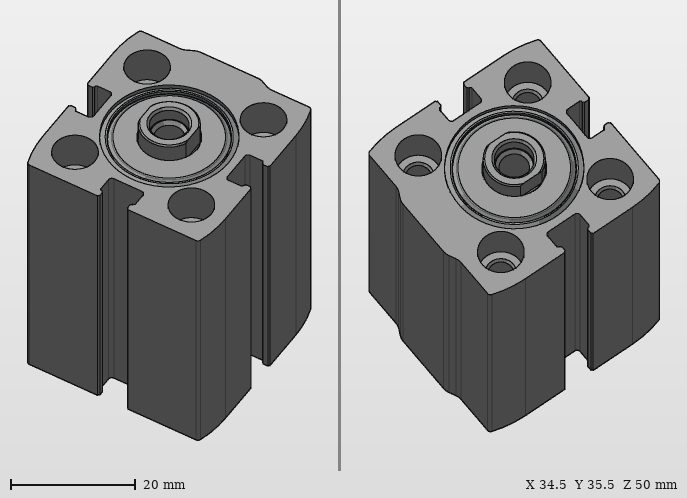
import cadquery as cq
import math

HALF_SIDE = 17.25
BODY_HEIGHT = 47.0
SIDE_FLAT_HALF = 10.75
SIDE_ARC_RADIUS = 20.0
CORNER_FILLET = 0.6

RIDGE_HEIGHT = 1.05
RIDGE_TOP_HALF = 5.95
RIDGE_BASE_HALF = 8.15
RIDGE_FILLET = 2.5

SLOT_MOUTH = 5.2
SLOT_WIDTH = 6.5
SLOT_DEPTH = 4.6
SLOT_LIP = 1.4
SLOT_FLOOR_FILLET = 0.6
SLOT_LIP_FILLET = 0.25
SLOT_MOUTH_ROUND = 0.25

MOUNT_OFFSET = 11.0
MOUNT_HOLE_DIA = 4.2
MOUNT_CHAMFER_DIA = 5.0
MOUNT_BORE_DIA = 7.5
MOUNT_BORE_DEPTH = 7.0

OUTER_RING_DIA = 22.4
OUTER_RING_TOP_DIA = 20.6
OUTER_RING_DEPTH = 0.75
INNER_RING_DIA = 20.0
INNER_RING_TOP_DIA = 18.6
INNER_RING_FLOOR_DIA = 19.8
INNER_RING_DEPTH = 0.75
CAP_EDGE_DIA = 18.1
CAP_EDGE_DROP = 0.1
CAP_DROP = 0.2

TOTAL_HEIGHT = 50.0
ROD_DIA = 10.0
ROD_LENGTH = 23.0
ROD_TIP_CHAMFER = 0.25
ROD_FLATS = 9.0
FLAT_BELOW_TOP = 1.0
FLAT_RUNOUT = 0.25
WIPER_DIA = 10.4
THREAD_MOUTH_DIA = 7.2
THREAD_RECESS_DIA = 6.4
THREAD_RECESS_DEPTH = 2.5
THREAD_CONE_DIA = 6.1
THREAD_CORE_DIA = 4.9
THREAD_DEPTH = 11.0
DRILL_HALF_ANGLE = 59.0

ROD_BOTTOM = TOTAL_HEIGHT - ROD_LENGTH


def revolve_profile(points):
    """Solid of revolution about Z from (radius, height) points."""
    return cq.Workplane("XZ").polyline(points).close().revolve(360, (0, 0, 0), (0, 1, 0))


def side_curve_x(y):
    """X of the curved part of the +X side at the given Y."""
    rise = y - SIDE_FLAT_HALF
    return HALF_SIDE - SIDE_ARC_RADIUS + math.sqrt(SIDE_ARC_RADIUS**2 - rise**2)


def fillet_mirrored_edges(block, x, y, radius):
    """Round the two vertical edges at (-x, y) and (x, y)."""
    middle_z = BODY_HEIGHT / 2
    left = cq.selectors.NearestToPointSelector((-x, y, middle_z))
    right = cq.selectors.NearestToPointSelector((x, y, middle_z))
    return block.edges(left + right).fillet(radius)


def profile_block():
    """Extruded housing profile with curved X sides and the ridge on +Y."""
    ridge_top = HALF_SIDE + RIDGE_HEIGHT
    corner_x = side_curve_x(HALF_SIDE)
    arc_y = (SIDE_FLAT_HALF + HALF_SIDE) / 2
    arc_x = side_curve_x(arc_y)
    block = (
        cq.Workplane("XY")
        .moveTo(-corner_x, -HALF_SIDE)
        .lineTo(corner_x, -HALF_SIDE)
        .threePointArc((arc_x, -arc_y), (HALF_SIDE, -SIDE_FLAT_HALF))
        .lineTo(HALF_SIDE, SIDE_FLAT_HALF)
        .threePointArc((arc_x, arc_y), (corner_x, HALF_SIDE))
        .lineTo(RIDGE_BASE_HALF, HALF_SIDE)
        .lineTo(RIDGE_TOP_HALF, ridge_top)
        .lineTo(-RIDGE_TOP_HALF, ridge_top)
        .lineTo(-RIDGE_BASE_HALF, HALF_SIDE)
        .lineTo(-corner_x, HALF_SIDE)
        .threePointArc((-arc_x, arc_y), (-HALF_SIDE, SIDE_FLAT_HALF))
        .lineTo(-HALF_SIDE, -SIDE_FLAT_HALF)
        .threePointArc((-arc_x, -arc_y), (-corner_x, -HALF_SIDE))
        .close()
        .extrude(BODY_HEIGHT)
    )

    for y in (-HALF_SIDE, HALF_SIDE):
        block = fillet_mirrored_edges(block, corner_x, y, CORNER_FILLET)
    block = fillet_mirrored_edges(block, RIDGE_BASE_HALF, HALF_SIDE, RIDGE_FILLET)
    return fillet_mirrored_edges(block, RIDGE_TOP_HALF, ridge_top, RIDGE_FILLET)


def t_slot(angle):
    """Full-height T-slot cutter; at angle 0 it opens to -Y."""
    floor_y = -HALF_SIDE + SLOT_DEPTH
    lip_y = -HALF_SIDE + SLOT_LIP
    chamber = (
        cq.Workplane("XY")
        .center(0, (floor_y + lip_y) / 2)
        .rect(SLOT_WIDTH, floor_y - lip_y)
        .extrude(BODY_HEIGHT)
        .edges("|Z and >Y").fillet(SLOT_FLOOR_FILLET)
        .edges("|Z and <Y").fillet(SLOT_LIP_FILLET)
    )
    mouth_half = SLOT_MOUTH / 2
    round_half = mouth_half + SLOT_MOUTH_ROUND
    round_y = -HALF_SIDE + SLOT_MOUTH_ROUND
    mouth = (
        cq.Workplane("XY")
        .moveTo(-round_half, -HALF_SIDE)
        .radiusArc((-mouth_half, round_y), SLOT_MOUTH_ROUND)
        .lineTo(-mouth_half, lip_y - SLOT_MOUTH_ROUND)
        .radiusArc((-round_half, lip_y), SLOT_MOUTH_ROUND)
        .lineTo(round_half, lip_y)
        .radiusArc((mouth_half, lip_y - SLOT_MOUTH_ROUND), SLOT_MOUTH_ROUND)
        .lineTo(mouth_half, round_y)
        .radiusArc((round_half, -HALF_SIDE), SLOT_MOUTH_ROUND)
        .close()
        .extrude(BODY_HEIGHT)
    )
    return chamber.union(mouth).rotate((0, 0, 0), (0, 0, 1), angle)


def mounting_hole(x, y):
    """Through hole with a chamfered mouth at the floor of a deep counterbore."""
    bore_floor = BODY_HEIGHT - MOUNT_BORE_DEPTH
    hole_r = MOUNT_HOLE_DIA / 2
    chamfer_r = MOUNT_CHAMFER_DIA / 2
    bore_r = MOUNT_BORE_DIA / 2
    return revolve_profile([
        (0, 0),
        (hole_r, 0),
        (hole_r, bore_floor - (chamfer_r - hole_r)),
        (chamfer_r, bore_floor),
        (bore_r, bore_floor),
        (bore_r, BODY_HEIGHT),
        (0, BODY_HEIGHT),
    ]).translate((x, y, 0))


def cap_recess():
    """Two stepped ring grooves with sloping floors around a slightly sunk cap."""
    top = BODY_HEIGHT
    cap_z = top - CAP_DROP
    return revolve_profile([
        (0, cap_z),
        (CAP_EDGE_DIA / 2, cap_z),
        (INNER_RING_TOP_DIA / 2, cap_z - CAP_EDGE_DROP),
        (INNER_RING_FLOOR_DIA / 2, top - INNER_RING_DEPTH),
        (INNER_RING_DIA / 2, top - INNER_RING_DEPTH),
        (INNER_RING_DIA / 2, cap_z),
        (OUTER_RING_TOP_DIA / 2, cap_z),
        (OUTER_RING_DIA / 2, top - OUTER_RING_DEPTH),
        (OUTER_RING_DIA / 2, top),
        (0, top),
    ])


def rod_bore():
    """Blind bore that holds the rod, with a clearance mouth."""
    bore = cq.Workplane("XY").workplane(offset=ROD_BOTTOM).circle(ROD_DIA / 2).extrude(ROD_LENGTH)
    mouth = (
        cq.Workplane("XY")
        .workplane(offset=BODY_HEIGHT - FLAT_BELOW_TOP)
        .circle(WIPER_DIA / 2)
        .extrude(FLAT_BELOW_TOP)
    )
    return bore.union(mouth)


def make_housing():
    """Cylinder housing with its slots, mounting holes, end cap rings and rod bore."""
    housing = profile_block()
    for angle in (-90, 0, 90):
        housing = housing.cut(t_slot(angle))
    for x in (-MOUNT_OFFSET, MOUNT_OFFSET):
        for y in (-MOUNT_OFFSET, MOUNT_OFFSET):
            housing = housing.cut(mounting_hole(x, y))
    return housing.cut(cap_recess()).cut(rod_bore())


def thread_hole():
    """Chamfered recess, conical step, thread core and drill point in the rod end."""
    mouth_r = THREAD_MOUTH_DIA / 2
    recess_r = THREAD_RECESS_DIA / 2
    cone_r = THREAD_CONE_DIA / 2
    core_r = THREAD_CORE_DIA / 2
    recess_floor = TOTAL_HEIGHT - THREAD_RECESS_DEPTH
    core_floor = TOTAL_HEIGHT - THREAD_DEPTH
    drill_tip = core_r / math.tan(math.radians(DRILL_HALF_ANGLE))
    return revolve_profile([
        (0, core_floor - drill_tip),
        (core_r, core_floor),
        (core_r, recess_floor - (cone_r - core_r)),
        (cone_r, recess_floor),
        (recess_r, recess_floor),
        (recess_r, TOTAL_HEIGHT - (mouth_r - recess_r)),
        (mouth_r, TOTAL_HEIGHT),
        (0, TOTAL_HEIGHT),
    ])


def make_rod():
    """Piston rod with two wrench flats and a threaded end."""
    rod = cq.Workplane("XY").workplane(offset=ROD_BOTTOM).circle(ROD_DIA / 2).extrude(ROD_LENGTH)
    rod = rod.faces(">Z").edges().chamfer(ROD_TIP_CHAMFER)
    flat_x = ROD_FLATS / 2
    flat_z = BODY_HEIGHT - FLAT_BELOW_TOP
    depth = ROD_DIA / 2 - flat_x
    flat = (
        cq.Workplane("XZ")
        .polyline([
            (flat_x, flat_z),
            (flat_x + depth, flat_z - FLAT_RUNOUT),
            (flat_x + depth, TOTAL_HEIGHT),
            (flat_x, TOTAL_HEIGHT),
        ])
        .close()
        .extrude(ROD_DIA / 2, both=True)
    )
    rod = rod.cut(flat).cut(flat.mirror("YZ"))
    return rod.cut(thread_hole())


housing = make_housing()
rod = make_rod()

result = cq.Compound.makeCompound([housing.val(), rod.val()])